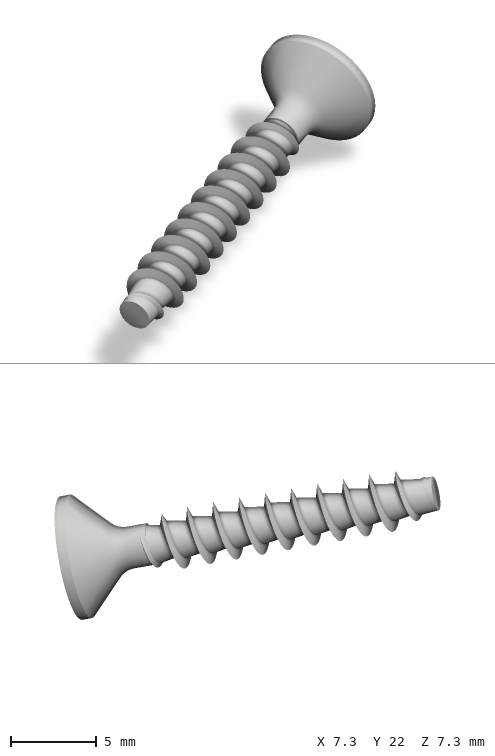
import cadquery as cq
import math

length = 22.0
head_radius = 3.65
rim_height = 0.62
neck_radius = 1.23
neck_fillet = 1.39
neck_end = 4.8

crest_radius = 1.75
start_crest_radius = 1.39
root_radius = 1.17
core_radius = 1.0
hidden_radius = 1.2
flank_half_width = 0.22

run_out_end = 21.65
ramp_in_turns = 1
run_out_start_turn = 9.5
run_out_end_turn = 10.75
buried_turns = 1
overrun_turns = 1.5
piece_turns = 0.25
points_per_piece = 9
pitch = (run_out_end - neck_end) / run_out_end_turn
first_turn = -buried_turns
last_turn = run_out_end_turn + overrun_turns


def make_head_and_neck():
    """Revolve the head and neck about the Y axis."""
    slope = math.sin(math.radians(45))
    cone_end_radius = neck_radius + neck_fillet * (1 - slope)
    cone_end = rim_height + head_radius - cone_end_radius
    fillet_end = cone_end + neck_fillet * slope
    half_angle = math.radians(22.5)
    fillet_mid = (
        neck_radius + neck_fillet * (1 - math.cos(half_angle)),
        -fillet_end + neck_fillet * math.sin(half_angle),
    )
    return (
        cq.Workplane("XY")
        .moveTo(0, 0)
        .lineTo(head_radius, 0)
        .lineTo(head_radius, -rim_height)
        .lineTo(cone_end_radius, -cone_end)
        .threePointArc(fillet_mid, (neck_radius, -fillet_end))
        .lineTo(neck_radius, -neck_end)
        .lineTo(0, -neck_end)
        .close()
        .revolve(360, (0, 0, 0), (0, 1, 0))
    )


def blend(turn, start_turn, end_turn, start_value, end_value):
    """Even change from start to end value, held constant outside the two turns."""
    share = min(max((turn - start_turn) / (end_turn - start_turn), 0), 1)
    return start_value + (end_value - start_value) * share


def crest_at(turn):
    """Crest radius: emerges from the neck, rises, stays level, then fades out."""
    if turn < 0:
        return blend(turn, -piece_turns, 0, hidden_radius, start_crest_radius)
    if turn < run_out_start_turn:
        return blend(turn, 0, ramp_in_turns, start_crest_radius, crest_radius)
    return blend(turn, run_out_start_turn, run_out_end_turn, crest_radius, core_radius)


def root_at(turn):
    """Core radius just behind the thread."""
    if turn < run_out_start_turn:
        return blend(turn, 0, ramp_in_turns, hidden_radius, root_radius)
    return blend(turn, run_out_start_turn, run_out_end_turn, root_radius, core_radius)


def core_at(turn):
    """Core radius where one pitch meets the next."""
    return core_radius


def axis_at(turn):
    """Zero radius, on the screw axis."""
    return 0


front_corner = (core_at, -flank_half_width)
back_corner = (core_at, pitch - flank_half_width)
front_axis = (axis_at, -flank_half_width)
back_axis = (axis_at, pitch - flank_half_width)
surface_corners = [front_corner, (crest_at, 0), (root_at, flank_half_width), back_corner]


def screw_point(corner, turn):
    """Point at a corner; turn 0 lies on the -Z side and the next quarter on +X."""
    radius_at, offset = corner
    radius = radius_at(turn)
    angle = 2 * math.pi * turn
    depth = neck_end + pitch * turn + offset
    return cq.Vector(radius * math.sin(angle), -depth, -radius * math.cos(angle))


def corner_edge(corner, start_turn):
    """Curve that a corner follows through one piece of the screw."""
    steps = points_per_piece - 1
    turns = [start_turn + piece_turns * step / steps for step in range(points_per_piece)]
    return cq.Edge.makeSpline([screw_point(corner, turn) for turn in turns])


def piece_starts(start_turn, end_turn):
    """Turn at which each piece of a stretch begins."""
    count = round((end_turn - start_turn) / piece_turns)
    return [start_turn + piece_turns * index for index in range(count)]


def strip_faces(corner_a, corner_b, start_turn, end_turn):
    """Helical faces between two corners."""
    return [
        cq.Face.makeRuledSurface(corner_edge(corner_a, turn), corner_edge(corner_b, turn))
        for turn in piece_starts(start_turn, end_turn)
    ]


def radial_face(turn):
    """Flat face from the axis to the screw surface across one pitch."""
    corners = [front_axis] + surface_corners + [back_axis]
    points = [screw_point(corner, turn) for corner in corners]
    return cq.Face.makeFromWires(cq.Wire.makePolygon(points, close=True))


def make_screw():
    """Core and thread as one solid, closed at each end by a one-turn spiral step."""
    faces = [radial_face(first_turn), radial_face(last_turn)]
    for corner_a, corner_b in zip(surface_corners, surface_corners[1:]):
        faces += strip_faces(corner_a, corner_b, first_turn, last_turn)
    faces += strip_faces(front_axis, front_corner, first_turn, first_turn + 1)
    faces += strip_faces(back_axis, back_corner, last_turn - 1, last_turn)
    return cq.Solid.makeSolid(cq.Shell.makeShell(faces)).fix()


screw = cq.Workplane(make_screw())

trim_size = 4 * crest_radius
tip_trim = cq.Workplane("XY").box(trim_size, trim_size, trim_size)
screw = screw.cut(tip_trim.translate((0, -length - trim_size / 2, 0)))

result = make_head_and_neck().union(screw)